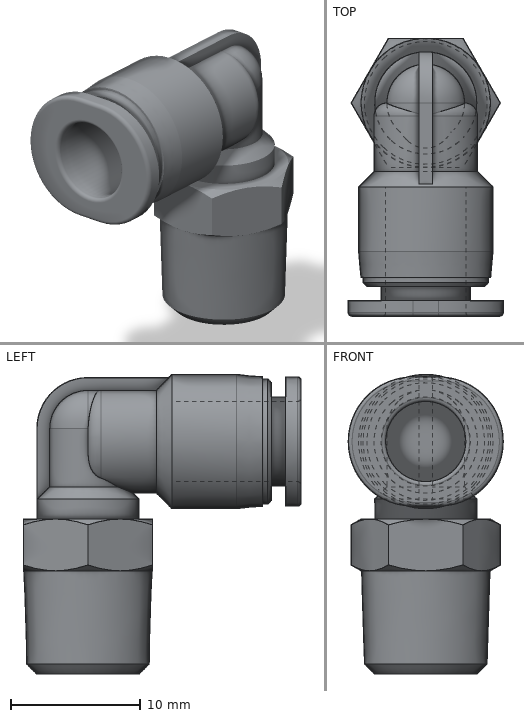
import cadquery as cq
import math


stub_bottom = -18.0
thread_top_radius = 4.97
thread_taper = 1 / 32
stub_chamfer = 0.8

hex_across_flats = 10.0
hex_bottom = -10.0
hex_top = -6.0
hex_chamfer_angle = 30.0

neck_radius = 3.0
neck_wall = 0.95
collar_radius = neck_radius + neck_wall
collar_top = -4.45
collar_cone_top = collar_top + neck_wall
elbow_center_z = 1.0
rib_width = 1.05

socket_small_radius = 4.0
socket_back_fillet = 1.0
socket_cone_start = 5.3
socket_radius = 5.2
socket_cone_end = socket_cone_start + socket_radius - socket_small_radius
socket_taper_start = 11.5
socket_taper_end = 13.5
socket_taper_radius = 5.02
lip_radius = 4.85
lip_chamfer = 0.3
lip_end = 14.2

sleeve_radius = 3.45
flange_start = 15.3
flange_end = 16.5
flange_width = 12.0
flange_height = 10.0
flange_edge_round = 0.3
bore_radius = 3.1
bore_depth = flange_end - socket_cone_end


def make_thread_stub():
    """Tapered stub below the hexagon with a chamfered end."""
    chamfer_z = stub_bottom + stub_chamfer
    thread_end_radius = thread_top_radius - thread_taper * (hex_bottom - chamfer_z)
    profile = [
        (0, stub_bottom),
        (thread_end_radius - stub_chamfer, stub_bottom),
        (thread_end_radius, chamfer_z),
        (thread_top_radius, hex_bottom),
        (0, hex_bottom),
    ]
    return cq.Workplane("XZ").polyline(profile).close().revolve(360, (0, 0), (0, 1))


def make_hexagon():
    """Hexagon with corners on the X axis, its corners cut by a cone at both ends."""
    inner_radius = hex_across_flats / 2
    corner_radius = inner_radius / math.cos(math.radians(30))
    corner_drop = (corner_radius - inner_radius) * math.tan(math.radians(hex_chamfer_angle))
    prism = (
        cq.Workplane("XY", origin=(0, 0, hex_bottom))
        .polygon(6, 2 * corner_radius)
        .extrude(hex_top - hex_bottom)
    )
    envelope_profile = [
        (0, hex_bottom),
        (inner_radius, hex_bottom),
        (corner_radius, hex_bottom + corner_drop),
        (corner_radius, hex_top - corner_drop),
        (inner_radius, hex_top),
        (0, hex_top),
    ]
    envelope = cq.Workplane("XZ").polyline(envelope_profile).close().revolve(360, (0, 0), (0, 1))
    return prism.intersect(envelope)


def make_neck():
    """Collar, cone and vertical neck closed by a ball, plus the short run behind the socket."""
    ball_side = neck_radius * math.sqrt(0.5)
    upright = (
        cq.Workplane("XZ")
        .moveTo(0, hex_top)
        .lineTo(collar_radius, hex_top)
        .lineTo(collar_radius, collar_top)
        .lineTo(neck_radius, collar_cone_top)
        .lineTo(neck_radius, elbow_center_z)
        .threePointArc((ball_side, elbow_center_z + ball_side), (0, elbow_center_z + neck_radius))
        .close()
        .revolve(360, (0, 0), (0, 1))
    )
    run = (
        cq.Workplane("XZ", origin=(0, 0, elbow_center_z))
        .circle(neck_radius)
        .extrude(socket_cone_start)
    )
    return upright.union(run)


def make_socket():
    """Tube socket and sleeve stem, revolved about the Y axis."""
    round_center_radius = socket_small_radius - socket_back_fillet
    round_side = socket_back_fillet * math.sqrt(0.5)
    return (
        cq.Workplane("XY")
        .moveTo(0, 0)
        .lineTo(round_center_radius, 0)
        .threePointArc(
            (round_center_radius + round_side, round_side - socket_back_fillet),
            (socket_small_radius, -socket_back_fillet),
        )
        .lineTo(socket_small_radius, -socket_cone_start)
        .lineTo(socket_radius, -socket_cone_end)
        .lineTo(socket_radius, -socket_taper_start)
        .lineTo(socket_taper_radius, -socket_taper_end)
        .lineTo(lip_radius, -socket_taper_end)
        .lineTo(lip_radius, lip_chamfer - lip_end)
        .lineTo(lip_radius - lip_chamfer, -lip_end)
        .lineTo(sleeve_radius, -lip_end)
        .lineTo(sleeve_radius, -flange_start)
        .lineTo(0, -flange_start)
        .close()
        .revolve(360, (0, 0), (0, 1))
    )


def make_rib():
    """Thin rib around the outside of the elbow, running from the collar into the socket cone."""
    crest_side = collar_radius * math.sqrt(0.5)
    return (
        cq.Workplane("YZ", origin=(-rib_width / 2, 0, 0))
        .moveTo(0, collar_top)
        .lineTo(collar_radius, collar_top)
        .lineTo(collar_radius, elbow_center_z)
        .threePointArc((crest_side, elbow_center_z + crest_side), (0, elbow_center_z + collar_radius))
        .lineTo(-socket_cone_end, elbow_center_z + collar_radius)
        .lineTo(-socket_cone_end, 0)
        .lineTo(0, 0)
        .close()
        .extrude(rib_width)
    )


def make_flange():
    """Oblong sleeve flange with its front edge rounded."""
    return (
        cq.Workplane("XZ", origin=(0, -flange_start, 0))
        .slot2D(flange_width, flange_height)
        .extrude(flange_end - flange_start)
        .faces("<Y")
        .edges()
        .fillet(flange_edge_round)
    )


def make_bore():
    """Blind tube bore with a rounded mouth, as a cutting body revolved about the Y axis."""
    mouth_radius = bore_radius + flange_edge_round
    round_side = flange_edge_round * (1 - math.sqrt(0.5))
    return (
        cq.Workplane("XY")
        .moveTo(0, -flange_end)
        .lineTo(mouth_radius, -flange_end)
        .threePointArc(
            (bore_radius + round_side, round_side - flange_end),
            (bore_radius, flange_edge_round - flange_end),
        )
        .lineTo(bore_radius, bore_depth - flange_end)
        .lineTo(0, bore_depth - flange_end)
        .close()
        .revolve(360, (0, 0), (0, 1))
    )


result = (
    make_thread_stub()
    .union(make_hexagon())
    .union(make_neck())
    .union(make_socket())
    .union(make_rib())
    .union(make_flange())
    .cut(make_bore())
)